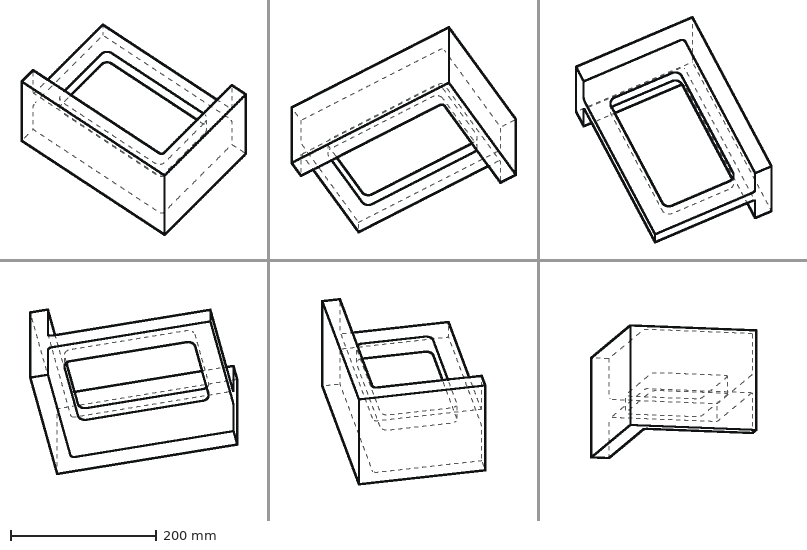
import cadquery as cq

LENGTH_X = 254.0
WIDTH_Y = 177.8
HEIGHT_Z = 139.7

PLATE = 25.0
INNER_FILLET = 5.0

SHELF_X = LENGTH_X - PLATE
SHELF_Y = WIDTH_Y - PLATE
POCKET_HEIGHT = (HEIGHT_Z - PLATE) / 2

OPEN_EDGE_MARGIN = 30.0
WALL_MARGIN = 15.0
WINDOW_X = SHELF_X - OPEN_EDGE_MARGIN - WALL_MARGIN
WINDOW_Y = SHELF_Y - OPEN_EDGE_MARGIN - WALL_MARGIN
WINDOW_CORNER_RADIUS = 10.0


def pocket(bottom_z, shelf_face):
    """Open corner space above or below the shelf, rounded where it meets the plates."""
    space = cq.Workplane("XY").box(SHELF_X, SHELF_Y, POCKET_HEIGHT, centered=False)
    space = space.translate((0, PLATE, bottom_z))
    wall_corner = space.edges("|Z").edges(">X and <Y")
    shelf_corners = space.faces(shelf_face).edges(">X or <Y")
    return space.newObject(wall_corner.vals() + shelf_corners.vals()).fillet(INNER_FILLET)


def window():
    """Round-cornered opening through the shelf."""
    opening = cq.Workplane("XY").box(WINDOW_X, WINDOW_Y, PLATE, centered=False)
    opening = opening.edges("|Z").fillet(WINDOW_CORNER_RADIUS)
    return opening.translate((OPEN_EDGE_MARGIN, PLATE + WALL_MARGIN, POCKET_HEIGHT))


block = cq.Workplane("XY").box(LENGTH_X, WIDTH_Y, HEIGHT_Z, centered=False)
lower_pocket = pocket(0, ">Z")
upper_pocket = pocket(POCKET_HEIGHT + PLATE, "<Z")

result = block.cut(lower_pocket).cut(upper_pocket).cut(window())